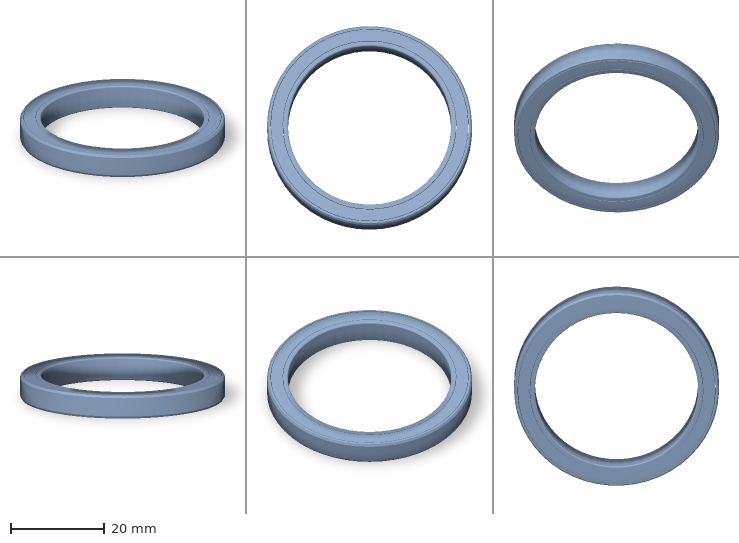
import cadquery as cq

OUTER_RADIUS = 22.0
BORE_RADIUS = 17.5
WIDTH = 5.0
RIM_CHAMFER_RADIAL = 0.3
RIM_CHAMFER_AXIAL = 0.5
BORE_FILLET = 0.3
GAP_OUTER_RADIUS = 21.25
GAP_INNER_RADIUS = 18.55
SEAL_CLEARANCE = 0.1
SEAL_THICKNESS = 0.45

HALF_WIDTH = WIDTH / 2


def tube(outer_radius, inner_radius, height, center_z=0):
    """Plain ring around the Z axis, centred at the given height."""
    return (
        cq.Workplane("XY", origin=(0, 0, center_z - height / 2))
        .circle(outer_radius)
        .circle(inner_radius)
        .extrude(height)
    )


def make_outer_ring():
    """Outer ring with a steep chamfer on both rim edges, revolved from its section."""
    chamfer_radius = OUTER_RADIUS - RIM_CHAMFER_RADIAL
    chamfer_z = HALF_WIDTH - RIM_CHAMFER_AXIAL
    section = [
        (GAP_OUTER_RADIUS, -HALF_WIDTH),
        (chamfer_radius, -HALF_WIDTH),
        (OUTER_RADIUS, -chamfer_z),
        (OUTER_RADIUS, chamfer_z),
        (chamfer_radius, HALF_WIDTH),
        (GAP_OUTER_RADIUS, HALF_WIDTH),
    ]
    return cq.Workplane("XZ").polyline(section).close().revolve(360, (0, 0), (0, 1))


def make_inner_ring():
    """Inner ring with both bore edges rounded."""
    ring = tube(GAP_INNER_RADIUS, BORE_RADIUS, WIDTH)
    bore_edges = ring.edges("%CIRCLE").filter(lambda edge: edge.radius() < GAP_INNER_RADIUS - BORE_FILLET)
    return bore_edges.fillet(BORE_FILLET)


def make_seal(side):
    """Flat annular seal in one end of the gap, flush with the ring faces."""
    center_z = side * (HALF_WIDTH - SEAL_THICKNESS / 2)
    return tube(
        GAP_OUTER_RADIUS - SEAL_CLEARANCE,
        GAP_INNER_RADIUS + SEAL_CLEARANCE,
        SEAL_THICKNESS,
        center_z,
    )


outer_ring = make_outer_ring()
inner_ring = make_inner_ring()
seals = [make_seal(side) for side in (-1, 1)]

result = cq.Compound.makeCompound(
    [outer_ring.val(), inner_ring.val(), *[seal.val() for seal in seals]]
)